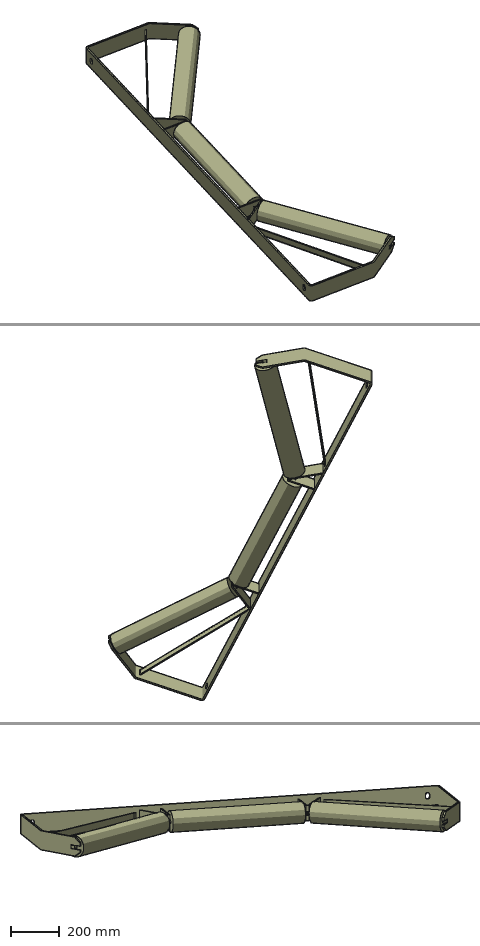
import cadquery as cq
import math

FRAME_WIDTH = 1800.0
FRAME_TIP_Y = 475.0
STRAP_HEIGHT = 81.0
PLATE = 8.0
BEND_INNER_RADIUS = 5.0
BEND_OUTER_RADIUS = BEND_INNER_RADIUS + PLATE
TIP_CUT_LENGTH = 27.0
TIP_CUT_DEPTH = 20.0

MOUNT_INSET = 50.0
MOUNT_SLOT_WIDTH = 18.0
MOUNT_SLOT_HEIGHT = 27.0

ROLLER_DIAMETER = 90.0
ROLLER_LENGTH = 569.0
SHAFT_DIAMETER = 20.0
SHAFT_FLATS = 15.0
SUPPORT_SPAN = 583.0
WING_CENTER_X = 558.0
WING_CENTER_Y = 274.0
WING_ANGLE = math.radians(35)
WING_TILT = math.radians(0.7)
MIDDLE_AXIS_Z = 30.0
MIDDLE_AXIS_Y = 100.0

BRACKET_TOP_Y = 126.0
BRACKET_HEIGHT = 65.0
BRACKET_PLATE = 6.0
SHAFT_SLOT_WIDTH = 16.0
SLOT_OVERCUT = 0.9
BRACE_HEIGHT = 30.0
BRACE_PLATE = 5.0
BRACE_ANGLE = math.radians(30)
BRACE_FOOT_X = 403.0

HALF_WIDTH = FRAME_WIDTH / 2
MID_Z = STRAP_HEIGHT / 2
SHAFT_LENGTH = SUPPORT_SPAN + 2 * PLATE
TILT_RISE = SHAFT_LENGTH / 2 * math.sin(WING_TILT)
WING_CENTER_Z = MIDDLE_AXIS_Z + TILT_RISE
COS_WING = math.cos(WING_ANGLE)
SIN_WING = math.sin(WING_ANGLE)
WING_OFFSET = WING_CENTER_X * COS_WING + WING_CENTER_Y * SIN_WING
SIDES = (-1, 1)


def wing_plane(side):
    """Plane across a wing roller: normal points outward along the axis, x points up the plate."""
    axis = (
        side * COS_WING * math.cos(WING_TILT),
        SIN_WING * math.cos(WING_TILT),
        math.sin(WING_TILT),
    )
    lift = (-side * SIN_WING, COS_WING, 0)
    return cq.Plane((side * WING_CENTER_X, WING_CENTER_Y, WING_CENTER_Z), lift, axis)


def middle_plane():
    """Plane across the middle roller, x pointing towards +Y."""
    return cq.Plane((0, MIDDLE_AXIS_Y, MIDDLE_AXIS_Z), (0, 1, 0), (1, 0, 0))


def make_roller(plane):
    """Roller shell with a through shaft that has two flats."""
    shell_start = cq.Workplane(plane).workplane(offset=-ROLLER_LENGTH / 2)
    shell = shell_start.circle(ROLLER_DIAMETER / 2).extrude(ROLLER_LENGTH)
    shaft_start = cq.Workplane(plane).workplane(offset=-SHAFT_LENGTH / 2)
    shaft = shaft_start.circle(SHAFT_DIAMETER / 2).extrude(SHAFT_LENGTH)
    flats = shaft_start.rect(SHAFT_DIAMETER, SHAFT_FLATS).extrude(SHAFT_LENGTH)
    return shell.union(shaft.intersect(flats))


def shaft_slot(plane, end, thickness):
    """Cutter for the open slot in the plate at one shaft end (end = -1 or 1 along the axis)."""
    slot_bottom = -SHAFT_DIAMETER / 2
    slot_top = FRAME_TIP_Y - WING_CENTER_Y
    near_face = end * (SUPPORT_SPAN / 2 - SLOT_OVERCUT)
    return (
        cq.Workplane(plane)
        .workplane(offset=near_face)
        .center((slot_top + slot_bottom) / 2, 0)
        .rect(slot_top - slot_bottom, SHAFT_SLOT_WIDTH)
        .extrude(end * (thickness + 2 * SLOT_OVERCUT))
    )


def fillet_upright_edge(body, x, y, radius):
    """Round the vertical edge of a strap that stands at (x, y)."""
    corner = cq.selectors.NearestToPointSelector((x, y, MID_Z))
    return body.edges("|Z").edges(corner).fillet(radius)


def tip_corners(side, tip_x):
    """Cutter for the two sloping corners at the tip of an outer support."""
    tip_plane = cq.Plane(
        (side * tip_x, FRAME_TIP_Y, MID_Z),
        (-side * SIN_WING, COS_WING, 0),
        (side * COS_WING, SIN_WING, 0),
    )
    half_height = STRAP_HEIGHT / 2
    corners = cq.Workplane(tip_plane)
    for edge in (-half_height, half_height):
        flat_end = edge * (1 - TIP_CUT_DEPTH / half_height)
        corners = corners.polyline([(-TIP_CUT_LENGTH, edge), (0, edge), (0, flat_end)]).close()
    return corners.extrude(-PLATE)


def make_frame():
    """Base strap bent up at both ends into the outer roller supports."""
    support_face = WING_OFFSET + SUPPORT_SPAN / 2 + PLATE
    bend_y = (support_face - HALF_WIDTH * COS_WING) / SIN_WING
    inner_x = HALF_WIDTH - PLATE
    inner_bend_y = bend_y - PLATE * math.tan(WING_ANGLE / 2)
    tip_x = HALF_WIDTH - (FRAME_TIP_Y - bend_y) * math.tan(WING_ANGLE)
    inner_tip = (tip_x - PLATE * COS_WING, FRAME_TIP_Y - PLATE * SIN_WING)

    right_half = [
        (HALF_WIDTH, 0),
        (HALF_WIDTH, bend_y),
        (tip_x, FRAME_TIP_Y),
        inner_tip,
        (inner_x, inner_bend_y),
        (inner_x, PLATE),
    ]
    left_half = [(-x, y) for x, y in reversed(right_half)]
    frame = cq.Workplane("XY").polyline(right_half + left_half).close().extrude(STRAP_HEIGHT)

    for side in SIDES:
        frame = frame.cut(tip_corners(side, tip_x))
        for x, y, radius in (
            (HALF_WIDTH, 0, BEND_OUTER_RADIUS),
            (inner_x, PLATE, BEND_INNER_RADIUS),
            (HALF_WIDTH, bend_y, BEND_OUTER_RADIUS),
            (inner_x, inner_bend_y, BEND_INNER_RADIUS),
        ):
            frame = fillet_upright_edge(frame, side * x, y, radius)
        frame = frame.cut(shaft_slot(wing_plane(side), 1, PLATE))

    mount_slots = (
        cq.Workplane("XZ")
        .pushPoints([(side * (HALF_WIDTH - MOUNT_INSET), MID_Z) for side in SIDES])
        .slot2D(MOUNT_SLOT_HEIGHT, MOUNT_SLOT_WIDTH, 90)
        .extrude(-PLATE)
    )
    return frame.cut(mount_slots)


def make_bracket(side):
    """Folded bracket that carries the inner wing shaft end and one middle shaft end."""
    wing_face = WING_OFFSET - SUPPORT_SPAN / 2

    def wing_leg_x(y, depth):
        """X on the sloping leg at height y, depth measured inward from the roller side."""
        return (wing_face - depth - y * SIN_WING) / COS_WING

    middle_face = SUPPORT_SPAN / 2
    web_inner_y = BRACKET_TOP_Y - BRACKET_PLATE
    outline = [
        (wing_leg_x(PLATE, 0), PLATE),
        (wing_leg_x(BRACKET_TOP_Y, 0), BRACKET_TOP_Y),
        (middle_face, BRACKET_TOP_Y),
        (middle_face, PLATE),
        (middle_face + BRACKET_PLATE, PLATE),
        (middle_face + BRACKET_PLATE, web_inner_y),
        (wing_leg_x(web_inner_y, BRACKET_PLATE), web_inner_y),
        (wing_leg_x(PLATE, BRACKET_PLATE), PLATE),
    ]
    outline = [(side * x, y) for x, y in outline]
    bracket = cq.Workplane("XY").polyline(outline).close().extrude(BRACKET_HEIGHT)
    bracket = bracket.cut(shaft_slot(wing_plane(side), -1, BRACKET_PLATE))
    return bracket.cut(shaft_slot(middle_plane(), side, BRACKET_PLATE))


def make_brace(side):
    """Flat brace from the base strap up to the end of the frame, centred on the strap height."""
    slope = math.tan(BRACE_ANGLE)
    rise_thickness = BRACE_PLATE / math.cos(BRACE_ANGLE)
    end_x = HALF_WIDTH - PLATE
    end_y = PLATE + (end_x - BRACE_FOOT_X) * slope
    outline = [
        (BRACE_FOOT_X, PLATE),
        (end_x, end_y),
        (end_x, end_y - rise_thickness),
        (BRACE_FOOT_X + rise_thickness / slope, PLATE),
    ]
    outline = [(side * x, y) for x, y in outline]
    base_z = MID_Z - BRACE_HEIGHT / 2
    return cq.Workplane("XY").workplane(offset=base_z).polyline(outline).close().extrude(BRACE_HEIGHT)


frame = make_frame()
middle_roller = make_roller(middle_plane())
wing_rollers = [make_roller(wing_plane(side)) for side in SIDES]
brackets = [make_bracket(side) for side in SIDES]
braces = [make_brace(side) for side in SIDES]

bodies = [frame, middle_roller, *wing_rollers, *brackets, *braces]
result = cq.Compound.makeCompound([body.val() for body in bodies])